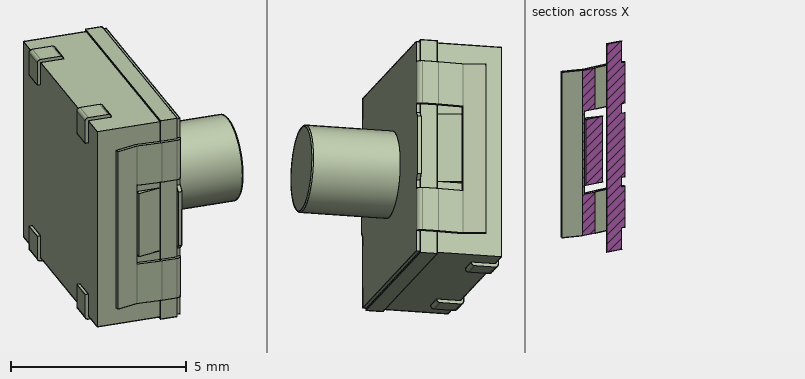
import cadquery as cq
import math

total_depth = 5.2
body_front_y = 0.1
collar_front_y = 2.0
plate_front_y = 2.5
plate_back_y = 2.61

body_size = 6.2
collar_size = 6.3

plunger_diameter = 2.5
plunger_edge_chamfer = 0.04

sheet = 0.1
clip_outer_x = 3.25
clip_height = 5.0
clip_bend_radius = 0.15
clip_slot_height = 2.5
flare_start_x = 3.205
flare_start_y = 1.27
flare_tip_x = 3.37
flare_tip_y = 0.63
tab_root_height = 2.0
tab_tip_height = 1.7

latch_height = 2.0
latch_end_y = 1.3

terminal_span = 6.4
terminal_spacing = 4.0
terminal_width = 0.7
terminal_foot_length = 0.8
terminal_side_length = 0.8
terminal_bend_radius = 0.1

overlap = 0.2

half_body = body_size / 2


def square_block(size, y_start, y_end):
    """Square block centred on the Y axis between two Y positions."""
    middle_y = (y_start + y_end) / 2
    return cq.Workplane("XY").box(size, y_end - y_start, size).translate((0, middle_y, 0))


def extrude_along_z(profile, height):
    """Extrude a closed XY profile symmetrically about Z = 0."""
    return profile.extrude(height / 2, both=True)


def make_plunger():
    length = total_depth - collar_front_y
    plunger = cq.Workplane("XZ", origin=(0, total_depth, 0)).circle(plunger_diameter / 2).extrude(length)
    return plunger.faces(">Y").chamfer(plunger_edge_chamfer)


def make_clip():
    """Side clip on +X: rounded bend, two legs hugging the body, and a flared lip."""
    inner_x = clip_outer_x - sheet
    flare_x = flare_tip_x - flare_start_x
    flare_y = flare_tip_y - flare_start_y
    flare_length = math.hypot(flare_x, flare_y)
    inner_tip_x = flare_tip_x + sheet * flare_y / flare_length
    inner_tip_y = flare_tip_y - sheet * flare_x / flare_length

    profile = (
        cq.Workplane("XY")
        .moveTo(half_body - overlap, plate_back_y)
        .lineTo(clip_outer_x - clip_bend_radius, plate_back_y)
        .radiusArc((clip_outer_x, plate_back_y - clip_bend_radius), clip_bend_radius)
        .lineTo(clip_outer_x, collar_front_y)
        .lineTo(flare_start_x, flare_start_y)
        .lineTo(flare_tip_x, flare_tip_y)
        .lineTo(inner_tip_x, inner_tip_y)
        .lineTo(flare_start_x - sheet, flare_start_y)
        .lineTo(inner_x, collar_front_y)
        .lineTo(inner_x, plate_front_y)
        .lineTo(half_body - overlap, plate_front_y)
        .close()
    )
    slot_depth = plate_back_y - flare_start_y
    slot_width = clip_outer_x - half_body + overlap
    slot = cq.Workplane("XY").box(slot_width, slot_depth, clip_slot_height, centered=(False, False, True))
    slot = slot.translate((half_body, flare_start_y, 0))
    return extrude_along_z(profile, clip_height).cut(slot)


def make_tab():
    """Flat tab with slanted ends, projecting from the cover plate between the clip legs."""
    root_x = half_body - overlap
    return (
        cq.Workplane("XZ", origin=(0, plate_back_y, 0))
        .moveTo(root_x, -tab_root_height / 2)
        .lineTo(half_body, -tab_root_height / 2)
        .lineTo(clip_outer_x, -tab_tip_height / 2)
        .lineTo(clip_outer_x, tab_tip_height / 2)
        .lineTo(half_body, tab_root_height / 2)
        .lineTo(root_x, tab_root_height / 2)
        .close()
        .extrude(plate_back_y - plate_front_y)
    )


def make_latch():
    """Wedge that rises from the body at the collar to the clip's outer face."""
    profile = (
        cq.Workplane("XY")
        .moveTo(half_body - overlap, collar_front_y)
        .lineTo(half_body, collar_front_y)
        .lineTo(clip_outer_x, latch_end_y)
        .lineTo(half_body - overlap, latch_end_y)
        .close()
    )
    return extrude_along_z(profile, latch_height)


def make_terminal(center_x):
    """Terminal at the +Z edge: a foot on the front face and a round-tipped side leaf past the bend."""
    outer_z = terminal_span / 2
    foot_z = outer_z - terminal_foot_length
    profile = (
        cq.Workplane("YZ", origin=(center_x, 0, 0))
        .moveTo(0, foot_z)
        .lineTo(0, outer_z - terminal_bend_radius)
        .radiusArc((terminal_bend_radius, outer_z), terminal_bend_radius)
        .lineTo(terminal_side_length - terminal_bend_radius, outer_z)
        .radiusArc((terminal_side_length, outer_z - terminal_bend_radius), terminal_bend_radius)
        .lineTo(terminal_side_length, half_body - overlap)
        .lineTo(body_front_y + overlap, half_body - overlap)
        .lineTo(body_front_y + overlap, foot_z)
        .close()
    )
    return profile.extrude(terminal_width / 2, both=True)


result = square_block(body_size, body_front_y, plate_back_y)
result = result.union(square_block(collar_size, collar_front_y, plate_front_y))
result = result.union(make_plunger())

for side_feature in (make_clip(), make_tab(), make_latch()):
    result = result.union(side_feature).union(side_feature.mirror("YZ"))

for column_x in (-terminal_spacing / 2, terminal_spacing / 2):
    terminal = make_terminal(column_x)
    result = result.union(terminal).union(terminal.mirror("XY"))